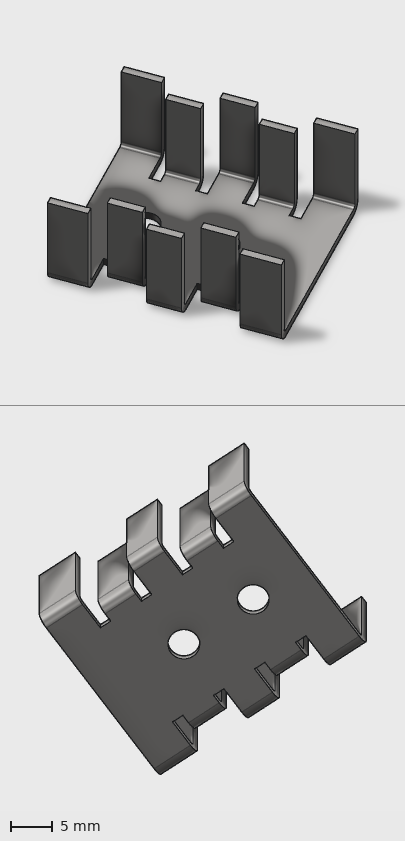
import cadquery as cq

length = 30.0
outer_width = 25.4
inner_width = 20.35
height = 13.0
thickness = 1.0
web_width = 15.0

inner_bend_radius = 0.5
outer_bend_radius = inner_bend_radius + thickness

first_fin = 5.2
fin = 4.5
gap = 1.5
pitch = fin + gap

hole_diameter = 3.8
hole_positions = (7.62, 17.75)


def channel(start, end, width):
    """Bent U-shaped strip from start to end, measured from the left end."""
    strip_length = end - start
    center_x = (start + end - length) / 2
    outside = (
        cq.Workplane("XY")
        .box(strip_length, width, height, centered=(True, True, False))
        .edges("|X and <Z")
        .fillet(outer_bend_radius)
    )
    inside = (
        cq.Workplane("XY", origin=(0, 0, thickness))
        .box(strip_length, width - 2 * thickness, height, centered=(True, True, False))
        .edges("|X and <Z")
        .fillet(inner_bend_radius)
    )
    return outside.cut(inside).translate((center_x, 0, 0))


result = cq.Workplane("XY").box(length, web_width, thickness, centered=(True, True, False))

second_start = first_fin + gap
last_start = second_start + 3 * pitch
result = result.union(channel(0, first_fin, outer_width))
for index, width in enumerate((inner_width, outer_width, inner_width)):
    start = second_start + index * pitch
    result = result.union(channel(start, start + fin, width))
result = result.union(channel(last_start, length, outer_width))

hole_centers = [(position - length / 2, 0) for position in hole_positions]
holes = (
    cq.Workplane("XY")
    .pushPoints(hole_centers)
    .circle(hole_diameter / 2)
    .extrude(thickness)
)
result = result.cut(holes).clean()